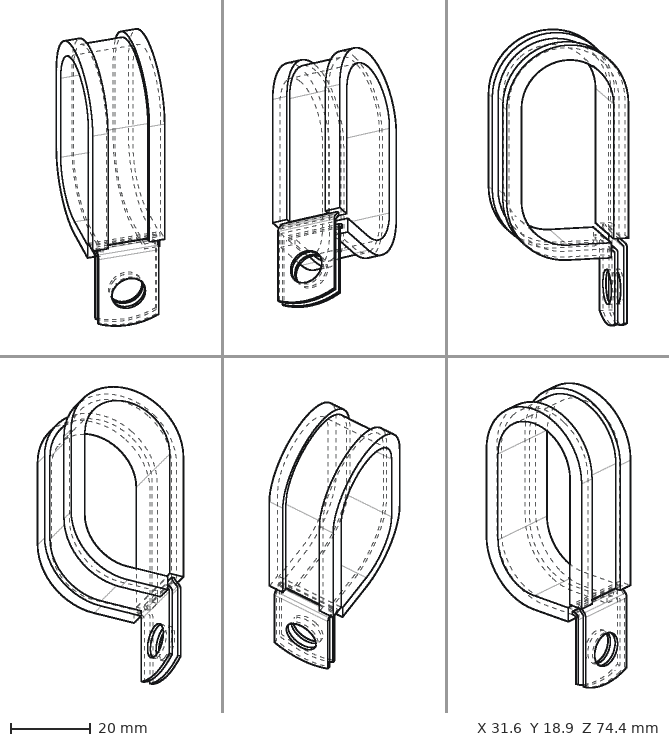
import cadquery as cq
import math


total_height = 74.4
width = 18.9
loop_radius = 15.8
wall = 3.9
loop_bottom = 19.1
leg_end = 24.0
foot_end = 11.3
channel_width = 10.9
channel_depth = 1.5

strap = 0.8
tab_width = 15.85
tip_rise = 1.8
hole_diameter = 8.8
hole_height = 9.5
foot_tab_face = 12.6
bend_inner = 0.75
bend_outer = bend_inner + strap
jog_offset = 1.7
jog_drop = 0.4
embed = 1.5

top_center = total_height - loop_radius
bottom_center = loop_bottom + loop_radius


def extrude_centered(profile, depth):
    return profile.extrude(depth / 2, both=True)


def loop_band(outer, inner, depth):
    """Band between two radii following the loop from the leg end to the foot end."""
    diagonal = math.sqrt(0.5)
    profile = (
        cq.Workplane("XZ")
        .moveTo(outer, leg_end)
        .lineTo(outer, top_center)
        .threePointArc((0, top_center + outer), (-outer, top_center))
        .lineTo(-outer, bottom_center)
        .threePointArc((-outer * diagonal, bottom_center - outer * diagonal), (0, bottom_center - outer))
        .lineTo(foot_end, bottom_center - outer)
        .lineTo(foot_end, bottom_center - inner)
        .lineTo(0, bottom_center - inner)
        .threePointArc((-inner * diagonal, bottom_center - inner * diagonal), (-inner, bottom_center))
        .lineTo(-inner, top_center)
        .threePointArc((0, top_center + inner), (inner, top_center))
        .lineTo(inner, leg_end)
        .close()
    )
    return extrude_centered(profile, depth)


def foot_tab():
    """Strap leaving the foot horizontally and bending straight down."""
    strap_bottom = loop_bottom + channel_depth
    strap_top = strap_bottom + strap
    outer_face = foot_tab_face + strap
    profile = (
        cq.Workplane("XZ")
        .moveTo(foot_end - embed, strap_bottom)
        .lineTo(foot_tab_face - bend_inner, strap_bottom)
        .radiusArc((foot_tab_face, strap_bottom - bend_inner), bend_inner)
        .lineTo(foot_tab_face, 0)
        .lineTo(outer_face, 0)
        .lineTo(outer_face, strap_top - bend_outer)
        .radiusArc((outer_face - bend_outer, strap_top), -bend_outer)
        .lineTo(foot_end - embed, strap_top)
        .close()
    )
    return extrude_centered(profile, tab_width)


def leg_tab():
    """Strap leaving the leg and jogging outward at 45 degrees to the loop's outer face."""
    upper_face = loop_radius - jog_offset
    jog_top = leg_end - jog_drop
    jog_bottom = jog_top - jog_offset
    miter = strap * math.tan(math.radians(22.5))
    corners = [
        (upper_face, leg_end + embed),
        (upper_face, jog_top),
        (loop_radius, jog_bottom),
        (loop_radius, 0),
        (loop_radius - strap, 0),
        (loop_radius - strap, jog_bottom - miter),
        (upper_face - strap, jog_top - miter),
        (upper_face - strap, leg_end + embed),
    ]
    tab = extrude_centered(cq.Workplane("XZ").polyline(corners).close(), tab_width)
    for x, z, radius in (
        (*corners[1], bend_inner),
        (*corners[6], bend_outer),
        (*corners[2], bend_outer),
        (*corners[5], bend_inner),
    ):
        tab = tab.edges(cq.selectors.NearestToPointSelector((x, 0, z))).fillet(radius)
    return tab


def tab_outline():
    """Rounded-tip envelope, with the bolt hole, that trims both tabs."""
    half = tab_width / 2
    profile = (
        cq.Workplane("YZ")
        .moveTo(-half, total_height)
        .lineTo(-half, tip_rise)
        .threePointArc((0, 0), (half, tip_rise))
        .lineTo(half, total_height)
        .close()
    )
    hole = cq.Workplane("YZ").center(0, hole_height).circle(hole_diameter / 2).extrude(2 * loop_radius)
    return profile.extrude(2 * loop_radius).cut(hole)


cushion = loop_band(loop_radius, loop_radius - wall, width)
channel = loop_band(loop_radius, loop_radius - channel_depth, channel_width)
tabs = foot_tab().union(leg_tab()).intersect(tab_outline())
result = cushion.cut(channel).union(tabs)